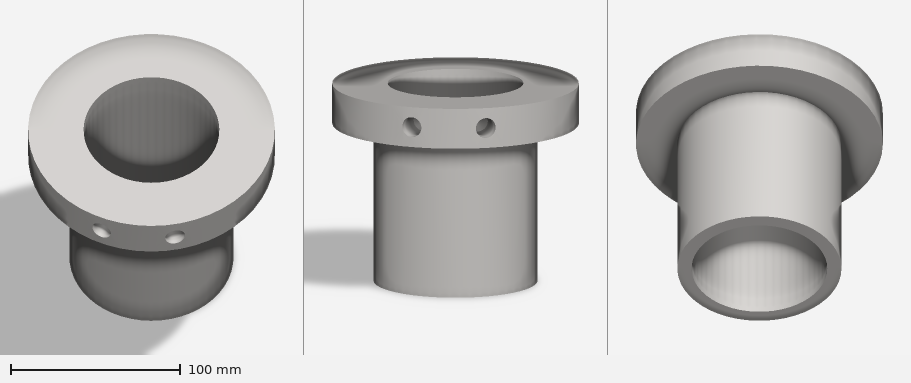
import cadquery as cq
import math

flange_diameter = 145.5
flange_thickness = 24.0
total_height = 119.0
sleeve_diameter = 96.8
bore_diameter = 80.0
sleeve_height = total_height - flange_thickness

hole_diameter = 12.0
hole_depth = 18.9
hole_angles = (-80.0, -45.0)
drill_point_angle = 90.0
hole_height = sleeve_height + flange_thickness / 2


def make_ring(outer_diameter, base_height, height):
    """Make a round ring around the bore."""
    return (
        cq.Workplane("XY")
        .workplane(offset=base_height)
        .circle(outer_diameter / 2)
        .circle(bore_diameter / 2)
        .extrude(height)
    )


def make_rim_hole(angle):
    """Make the cutter for one blind hole, pointing inward from the rim."""
    radius = hole_diameter / 2
    rim = flange_diameter / 2
    full_depth_radius = rim - hole_depth
    point_length = radius / math.tan(math.radians(drill_point_angle / 2))
    return (
        cq.Workplane("XY")
        .moveTo(rim, 0)
        .lineTo(rim, radius)
        .lineTo(full_depth_radius, radius)
        .lineTo(full_depth_radius - point_length, 0)
        .close()
        .revolve(360, (0, 0, 0), (1, 0, 0))
        .translate((0, 0, hole_height))
        .rotate((0, 0, 0), (0, 0, 1), angle)
    )


def make_bushing():
    """Make the bored sleeve with its drilled flange on top, as one solid."""
    sleeve = make_ring(sleeve_diameter, 0, sleeve_height)
    flange = make_ring(flange_diameter, sleeve_height, flange_thickness)
    bushing = sleeve.union(flange)
    for angle in hole_angles:
        bushing = bushing.cut(make_rim_hole(angle))
    return bushing


bushing = make_bushing()

result = cq.Compound.makeCompound(bushing.solids().vals())